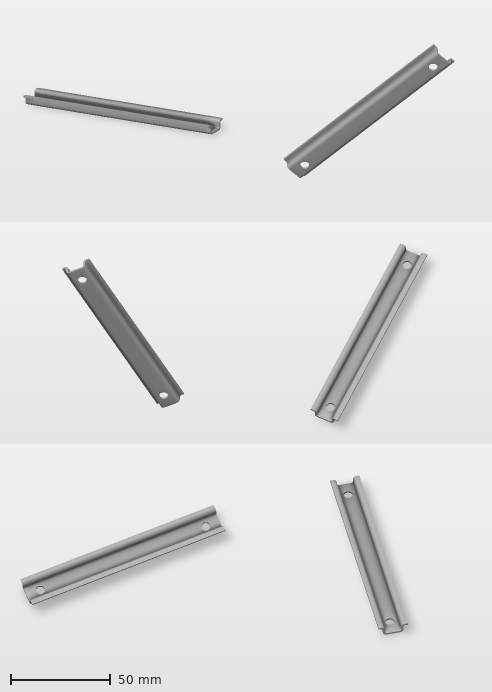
import cadquery as cq

length = 105.0
rail_width = 15.0
rail_height = 5.5
sheet = 1.0
channel_width = 10.5
inner_bend = 0.8
outer_bend = inner_bend + sheet

hole_diameter = 4.5
hole_spacing = 90.0

half_rail = rail_width / 2
wall_outer = channel_width / 2
wall_inner = wall_outer - sheet
base_bottom = -rail_height / 2
base_top = base_bottom + sheet
lip_top = rail_height / 2
lip_bottom = lip_top - sheet


def rail_section():
    """Base, side wall and outward lip on one side, mirrored to close the section."""
    return (
        cq.Workplane("YZ", origin=(-length / 2, 0, 0))
        .moveTo(0, base_bottom)
        .lineTo(wall_outer - outer_bend, base_bottom)
        .tangentArcPoint((wall_outer, base_bottom + outer_bend), relative=False)
        .lineTo(wall_outer, lip_bottom - inner_bend)
        .tangentArcPoint((wall_outer + inner_bend, lip_bottom), relative=False)
        .lineTo(half_rail, lip_bottom)
        .lineTo(half_rail, lip_top)
        .lineTo(wall_inner + outer_bend, lip_top)
        .tangentArcPoint((wall_inner, lip_top - outer_bend), relative=False)
        .lineTo(wall_inner, base_top + inner_bend)
        .tangentArcPoint((wall_inner - inner_bend, base_top), relative=False)
        .lineTo(0, base_top)
        .mirrorY()
    )


rail = rail_section().extrude(length)

holes = (
    cq.Workplane("XY", origin=(0, 0, base_bottom))
    .pushPoints([(-hole_spacing / 2, 0), (hole_spacing / 2, 0)])
    .circle(hole_diameter / 2)
    .extrude(sheet)
)

result = rail.cut(holes)